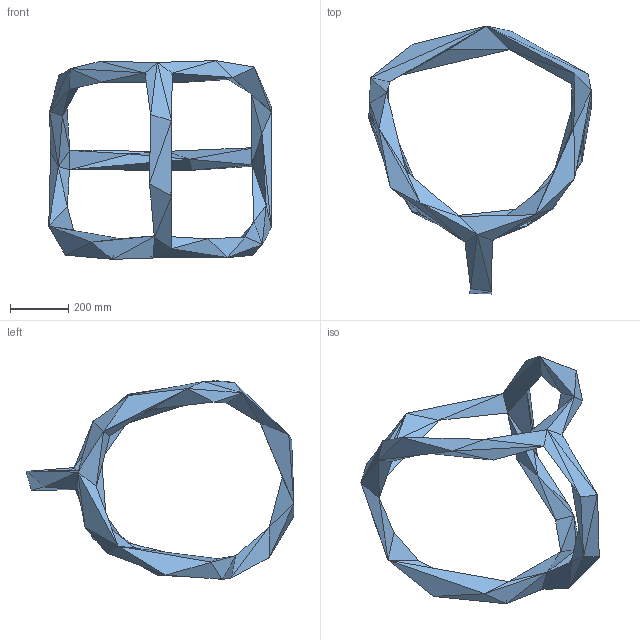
import cadquery as cq

HALF_WIDTH = 766.36 / 2
HALF_DEPTH = 922.81 / 2
HALF_HEIGHT = 684.28 / 2

TOP_JUNCTION = {
    "top_peak": (-9.3, -257.1, 336.1),
    "top_left_crotch": (-51.6, -282.9, 300.2),
    "top_right_crotch": (42.2, -278.1, 299.1),
    "top_under": (43.9, -229.0, 265.0),
    "top_inner": (-72.1, -194.9, 298.6),
}

BOTTOM_JUNCTION = {
    "bottom_front_left": (-19.2, -376.2, -267.2),
    "bottom_front_right": (39.8, -276.1, -305.6),
    "bottom_low": (-23.0, -245.4, -337.5),
    "bottom_inner": (-14.8, -261.1, -261.0),
}

LEFT_JUNCTION = {
    "left_outer": (-377.0, 283.0, 27.2),
    "left_inner_top": (-310.7, 268.9, 33.0),
    "left_front": (-350.3, 219.6, -22.7),
    "left_inner_low": (-311.9, 282.1, -33.6),
}

RIGHT_JUNCTION = {
    "right_top": (327.8, 296.0, 42.8),
    "right_inner": (316.9, 262.0, -16.0),
    "right_low": (372.0, 295.5, -17.9),
    "right_outer": (HALF_WIDTH, 237.7, 183.9),
}

FRONT_STRUT = {
    "front_upper_left": (-32.3, -443.4, 156.4),
    "front_upper_right": (39.8, -453.5, 135.6),
    "front_lower_left": (-36.1, -HALF_DEPTH, -81.9),
    "front_lower_right": (40.0, -HALF_DEPTH, -124.0),
    "front_inner_upper": (11.8, -344.0, 197.0),
    "front_inner_middle": (-19.2, -420.9, 10.4),
    "front_inner_lower": (-10.0, -376.6, -161.1),
}

BACK_STRUT = {
    "back_inner_left": (-104.5, 382.0, 20.7),
    "back_top": (23.0, HALF_DEPTH, 29.7),
    "back_inner_right": (100.7, 380.1, 2.4),
    "back_low_right": (110.2, 442.8, -35.5),
    "back_low_left": (-230.7, 399.4, -24.0),
}

UPPER_LEFT_STRUT = {
    "ul_near_top": (-206.2, -148.8, 339.5),
    "ul_near_outer": (-309.0, -95.4, 315.0),
    "ul_near_under": (-201.7, -186.0, 268.5),
    "ul_mid_top": (-348.6, 108.1, 290.8),
    "ul_mid_under": (-311.4, 34.2, 243.0),
    "ul_mid_inner": (-255.4, -36.7, 299.2),
    "ul_far_top": (-322.1, 231.1, 201.3),
    "ul_far_outer": (-380.0, 194.3, 167.5),
    "ul_far_inner": (-336.0, 173.0, 151.0),
}

UPPER_RIGHT_STRUT = {
    "ur_near_top": (191.0, -189.4, HALF_HEIGHT),
    "ur_near_outer": (325.5, -63.6, 320.3),
    "ur_near_under": (249.8, -170.1, 284.1),
    "ur_near_inner": (235.7, -80.4, 277.5),
    "ur_mid_top": (323.4, 112.2, 295.1),
    "ur_mid_inner": (314.9, 93.5, 226.2),
    "ur_far_outer": (HALF_WIDTH, 210.0, 165.0),
    "ur_far_inner": (351.0, 203.0, 91.0),
}

LOWER_LEFT_STRUT = {
    "ll_near_low": (-165.0, -214.0, -HALF_HEIGHT),
    "ll_near_outer": (-235.4, -176.9, -283.0),
    "ll_near_inner": (-136.5, -197.1, -271.2),
    "ll_mid_low": (-326.5, -19.1, -327.8),
    "ll_far_outer": (-HALF_WIDTH, 144.0, -228.0),
    "ll_mid_inner": (-298.0, 80.0, -241.0),
    "ll_far_inner": (-319.3, 178.4, -159.5),
    "ll_far_back": (-329.7, 258.0, -164.2),
    "ll_mid_back": (-330.2, 181.9, -252.4),
}

LOWER_RIGHT_STRUT = {
    "lr_near_inner": (147.0, -167.0, -302.0),
    "lr_near_top": (164.9, -226.5, -271.5),
    "lr_near_low": (231.8, -179.9, -336.1),
    "lr_mid_top": (293.4, -84.4, -265.1),
    "lr_mid_inner": (257.0, -31.3, -290.7),
    "lr_mid_outer": (352.0, -3.1, -290.9),
    "lr_mid_low": (317.0, 8.0, -328.6),
    "lr_far_inner": (323.1, 121.5, -213.3),
    "lr_far_top": (365.6, 183.1, -157.2),
    "lr_far_outer": (HALF_WIDTH, 177.0, -233.6),
    "lr_far_back": (331.5, 230.7, -204.0),
}

CORNERS = {
    **TOP_JUNCTION,
    **BOTTOM_JUNCTION,
    **LEFT_JUNCTION,
    **RIGHT_JUNCTION,
    **FRONT_STRUT,
    **BACK_STRUT,
    **UPPER_LEFT_STRUT,
    **UPPER_RIGHT_STRUT,
    **LOWER_LEFT_STRUT,
    **LOWER_RIGHT_STRUT,
}

FRONT_STRUT_FACES = """
top_peak top_left_crotch front_upper_left
top_peak front_upper_left front_upper_right
top_peak front_upper_right top_right_crotch
front_upper_left front_upper_right front_lower_left
front_upper_right front_lower_right front_lower_left
front_lower_left front_lower_right bottom_front_left
front_lower_right bottom_front_right bottom_front_left
bottom_front_left bottom_front_right bottom_low
top_left_crotch top_under front_inner_upper
top_left_crotch front_inner_upper front_upper_left
front_upper_left front_inner_upper front_lower_left
front_inner_upper front_inner_middle front_lower_left
front_lower_left front_inner_middle front_inner_lower
front_lower_left front_inner_lower bottom_front_left
front_inner_lower bottom_front_left bottom_low
front_inner_lower bottom_low bottom_inner
top_right_crotch top_under front_inner_upper
top_right_crotch front_inner_upper front_upper_right
front_upper_right front_inner_upper front_inner_middle
front_upper_right front_inner_middle front_lower_right
front_lower_right front_inner_middle front_inner_lower
front_lower_right front_inner_lower bottom_front_right
front_inner_lower bottom_inner bottom_front_right
"""

UPPER_LEFT_FACES = """
top_peak top_left_crotch ul_near_top
ul_near_top top_left_crotch ul_near_outer
ul_near_outer top_left_crotch ul_near_under
top_left_crotch ul_near_under top_under
top_peak ul_near_top top_inner
ul_near_top ul_near_outer ul_mid_top
ul_near_outer ul_mid_top ul_far_outer
ul_near_outer ul_far_outer ul_mid_under
ul_near_outer ul_mid_under ul_near_under
ul_mid_under ul_far_outer ul_far_inner
ul_mid_under ul_far_inner ul_mid_inner
ul_mid_under ul_mid_inner ul_near_under
ul_mid_inner ul_near_top ul_mid_top
ul_near_top ul_mid_inner top_inner
ul_mid_inner top_inner ul_near_under
top_inner top_under ul_near_under
ul_mid_top ul_far_top ul_far_outer
ul_mid_top ul_far_top ul_mid_inner
ul_far_top ul_mid_inner ul_far_inner
left_outer left_inner_top ul_far_top
left_outer ul_far_top ul_far_outer
ul_far_outer left_outer left_front
ul_far_outer ul_far_inner left_front
ul_far_inner left_front left_inner_top
ul_far_top ul_far_inner left_inner_top
left_inner_top left_front left_inner_low
"""

UPPER_RIGHT_FACES = """
top_peak top_inner ur_near_top
top_peak top_right_crotch ur_near_top
top_right_crotch ur_near_top ur_near_under
ur_near_top ur_near_outer ur_near_under
ur_near_outer ur_near_top ur_mid_top
ur_near_top ur_mid_top ur_near_inner
ur_mid_top ur_near_inner ur_mid_inner
ur_near_top ur_near_inner top_under
ur_near_top top_under top_inner
top_right_crotch top_under ur_near_under
top_under ur_near_inner ur_near_under
ur_near_under ur_near_inner ur_mid_inner
ur_near_under ur_mid_inner ur_far_outer
ur_near_under ur_near_outer ur_far_outer
ur_near_outer ur_mid_top right_outer
ur_near_outer right_outer ur_far_outer
ur_mid_top right_outer right_top
ur_mid_top right_top right_inner
ur_mid_top ur_mid_inner right_inner
ur_mid_inner right_inner ur_far_inner
ur_mid_inner ur_far_outer ur_far_inner
right_top right_low right_outer
"""

BACK_STRUT_FACES = """
left_inner_top left_inner_low back_inner_left
back_inner_left left_inner_low back_inner_right
back_inner_left back_inner_right back_top
left_inner_top back_inner_left back_top
left_outer left_inner_top back_top
left_outer back_top back_low_left
left_outer back_low_left left_inner_low
left_inner_low back_low_left back_low_right
left_inner_low back_low_right back_inner_right
back_low_left back_top back_low_right
back_top back_inner_right right_top
back_inner_right right_top right_inner
back_inner_right back_low_right right_inner
back_low_right right_inner right_low
back_top right_top right_low
back_top right_low back_low_right
"""

LOWER_LEFT_FACES = """
left_front left_outer ll_far_outer
left_front ll_far_outer ll_far_inner
left_front ll_far_inner left_inner_low
left_outer left_inner_low ll_far_back
left_outer ll_far_back ll_far_outer
ll_far_outer ll_far_inner ll_mid_inner
ll_far_back ll_far_outer ll_mid_back
ll_mid_back ll_far_outer ll_mid_low
ll_far_outer ll_mid_low ll_near_outer
ll_far_outer ll_near_outer ll_near_inner
ll_far_outer ll_mid_inner ll_near_low
ll_far_outer ll_near_low ll_near_inner
ll_mid_low ll_near_outer ll_near_low
ll_near_outer ll_near_low bottom_inner
ll_near_outer ll_near_inner bottom_inner
ll_near_inner bottom_inner lr_near_inner
ll_near_low bottom_inner bottom_low
left_inner_low ll_far_inner ll_far_back
ll_far_inner ll_far_back ll_mid_back
ll_far_inner ll_mid_inner ll_mid_back
ll_mid_inner ll_mid_back ll_near_low
ll_mid_back ll_mid_low ll_near_low
ll_near_inner ll_near_low bottom_low
ll_near_inner bottom_low lr_near_inner
"""

LOWER_RIGHT_FACES = """
bottom_inner lr_near_inner lr_near_top
bottom_inner lr_near_top bottom_front_right
bottom_front_right lr_near_top lr_near_low
bottom_front_right lr_near_low bottom_low
bottom_low lr_near_low lr_near_inner
lr_near_top lr_near_low lr_mid_top
lr_near_inner lr_near_top lr_mid_top
lr_near_inner lr_mid_top lr_mid_inner
lr_near_inner lr_mid_inner lr_near_low
lr_mid_top lr_near_low lr_mid_outer
lr_near_low lr_mid_outer lr_mid_low
lr_mid_top lr_mid_outer lr_far_inner
lr_mid_top lr_far_inner lr_mid_inner
lr_mid_inner lr_far_inner lr_far_back
lr_mid_inner lr_far_back lr_mid_low
lr_mid_inner lr_mid_low lr_near_low
lr_mid_outer lr_mid_low lr_far_outer
lr_far_outer lr_mid_low lr_far_back
lr_mid_outer lr_far_top lr_far_outer
lr_far_top lr_mid_outer lr_far_inner
right_outer right_low lr_far_outer
right_outer lr_far_outer ur_far_inner
right_outer ur_far_inner ur_far_outer
ur_far_inner lr_far_top lr_far_outer
ur_far_inner right_inner lr_far_top
right_inner lr_far_top lr_far_inner
right_inner lr_far_inner lr_far_back
right_inner lr_far_back right_low
lr_far_back right_low lr_far_outer
"""

FACE_GROUPS = [
    FRONT_STRUT_FACES,
    UPPER_LEFT_FACES,
    UPPER_RIGHT_FACES,
    BACK_STRUT_FACES,
    LOWER_LEFT_FACES,
    LOWER_RIGHT_FACES,
]


def triangle(corner_names):
    """Flat face between three named corners."""
    points = [cq.Vector(*CORNERS[name]) for name in corner_names]
    outline = cq.Wire.makePolygon(points, close=True)
    return cq.Face.makeFromWires(outline)


def frame_solid():
    """Close all the triangles into one shell and fill it."""
    faces = []
    for group in FACE_GROUPS:
        for line in group.strip().splitlines():
            faces.append(triangle(line.split()))
    shell = cq.Shell.makeShell(faces)
    return cq.Solid.makeSolid(shell).fix()


result = cq.Workplane("XY").newObject([frame_solid()])